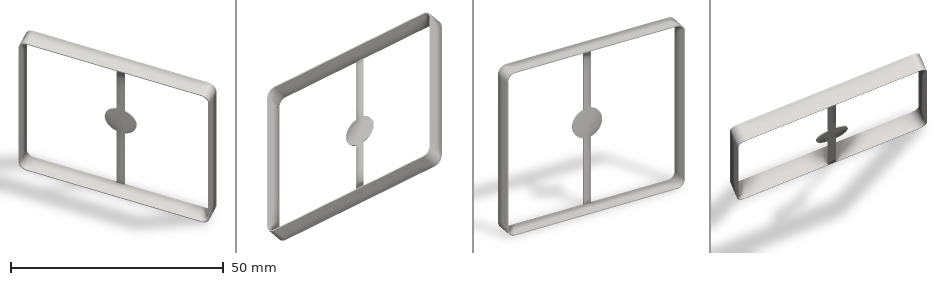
import cadquery as cq

frame_width = 48.3
frame_height = 44.3
frame_depth = 4.4
wall = 0.3
outer_corner_radius = 2.15
inner_corner_radius = 1.9

disc_diameter = 8.0
strip_width = 2.0
web_thickness = wall
web_front = frame_depth - web_thickness


def plane_at(y):
    """XZ workplane at the given Y, with its normal pointing along +Y."""
    return cq.Plane(origin=(0, y, 0), xDir=(1, 0, 0), normal=(0, 1, 0))


def rounded_block(width, height, radius):
    block = cq.Workplane(plane_at(0)).rect(width, height).extrude(frame_depth)
    return block.edges("|Y").fillet(radius)


def make_frame():
    outer = rounded_block(frame_width, frame_height, outer_corner_radius)
    opening = rounded_block(frame_width - 2 * wall, frame_height - 2 * wall, inner_corner_radius)
    return outer.cut(opening)


def make_web():
    strip_length = frame_height - wall
    strip = cq.Workplane(plane_at(web_front)).rect(strip_width, strip_length).extrude(web_thickness)
    disc = cq.Workplane(plane_at(web_front)).circle(disc_diameter / 2).extrude(web_thickness)
    return strip.union(disc)


result = make_frame().union(make_web())